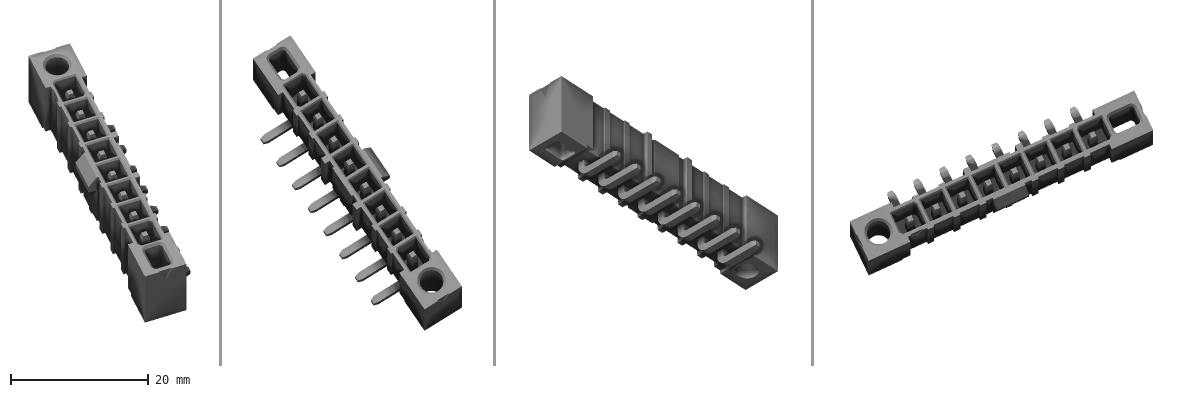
import cadquery as cq
import math

pin_count = 8
pin_row_span = 29.4
pitch = pin_row_span / (pin_count - 1)
pin_width = 1.15
pin_tip_width = 0.8
pin_tip_length = 0.75
pin_top_z = 9.6
pin_end_y = 7.0
pin_bottom_z = -2.1
pin_bend_radius = 1.3

length = 45.8
height = 10.25
end_block_length = 6.7
end_block_width = 6.5
foot_length = 5.4
standoff = 0.6
wall_width = 4.85

rib_thickness = 1.0
rib_width = 5.4
keying_rib_position = pitch
pad_length = 5.15

latch_tip_y = -4.0
latch_ramp_bottom_z = 8.65
latch_bottom_z = 7.4

cell_size = 3.5
end_cell_extension = 0.5
cell_floor_z = 2.3
cell_corner_cut = 0.35
cell_rim_chamfer = 0.25

mount_offset = 19.8
mount_hole_diameter = 3.45
mount_slot_length = 4.08
mount_slot_width = 2.85
mount_slot_corner_radius = 0.55
mount_rim_chamfer = 0.35

mark_width = 2.0
mark_height = 2.0
mark_depth = 0.15

pin_positions = [(i - (pin_count - 1) / 2) * pitch for i in range(pin_count)]
wall_positions = [x + pitch / 2 for x in pin_positions[:-1]]


def block(x_range, y_range, z_range):
    """Axis-aligned box given by its limits on each axis."""
    sizes = [high - low for low, high in (x_range, y_range, z_range)]
    corner = (x_range[0], y_range[0], z_range[0])
    return cq.Workplane("XY").box(*sizes, centered=False).translate(corner)


def centred_block(x, size_x, size_y, bottom, top):
    """Box centred on (x, 0) between two heights."""
    return block((x - size_x / 2, x + size_x / 2), (-size_y / 2, size_y / 2), (bottom, top))


def housing():
    """Long wall block, raised off the board, between two end blocks with feet."""
    body = centred_block(0, length, wall_width, standoff, height)
    for side in (-1, 1):
        block_x = side * (length - end_block_length) / 2
        foot_x = side * (length - foot_length) / 2
        body = body.union(centred_block(block_x, end_block_length, end_block_width, standoff, height))
        body = body.union(centred_block(foot_x, foot_length, end_block_width, 0, standoff))
    return body


def ribs():
    """Full-height ribs between cells; the two keying ribs reach further back."""
    bars = centred_block(0, pad_length, rib_width, standoff, height)
    for x in wall_positions:
        bars = bars.union(centred_block(x, rib_thickness, rib_width, 0, height))
    for x in (-keying_rib_position, keying_rib_position):
        x_range = (x - rib_thickness / 2, x + rib_thickness / 2)
        bars = bars.union(block(x_range, (0, end_block_width / 2), (0, height)))
    return bars


def latch():
    """Wedge on the front pad: sloped lead-in above a vertical face."""
    pad_y = -rib_width / 2
    profile = [
        (0, height),
        (pad_y, height),
        (latch_tip_y, latch_ramp_bottom_z),
        (latch_tip_y, latch_bottom_z),
        (0, latch_bottom_z),
    ]
    return cq.Workplane("YZ").polyline(profile).close().extrude(pad_length / 2, both=True)


def flared(shaft, rim):
    """Add a 45-degree countersunk rim of the given size to the top of an opening."""
    rim_outline = shaft.faces(">Z").wires().translate((0, 0, -rim)).toPending()
    return shaft.union(rim_outline.extrude(rim, combine=False, taper=-45))


def cell(x, left_extension=0, right_extension=0, cut_corners=()):
    """Pocket around a contact; the vertical edges in cut_corners are bevelled."""
    half = cell_size / 2
    x_range = (x - half - left_extension, x + half + right_extension)
    pocket = block(x_range, (-half, half), (cell_floor_z, height))
    for corner in cut_corners:
        pocket = pocket.edges(corner).chamfer(cell_corner_cut)
    return flared(pocket, cell_rim_chamfer)


def cells():
    """Row of pockets; both end cells are longer outward and bevelled at two corners."""
    first = cell(
        pin_positions[0],
        left_extension=end_cell_extension,
        cut_corners=("|Z and <X and <Y", "|Z and >X and >Y"),
    )
    last = cell(
        pin_positions[-1],
        right_extension=end_cell_extension,
        cut_corners=("|Z and >X and <Y", "|Z and <X and >Y"),
    )
    row = first.union(last)
    for x in pin_positions[1:-1]:
        row = row.union(cell(x))
    return row


def mounting_openings():
    """Round hole in the left end block and a slot in the right one, both right through."""
    hole = cq.Workplane("XY").center(-mount_offset, 0).circle(mount_hole_diameter / 2).extrude(height)
    slot = centred_block(mount_offset, mount_slot_length, mount_slot_width, 0, height)
    slot = slot.edges("|Z").fillet(mount_slot_corner_radius)
    return flared(hole, mount_rim_chamfer).union(flared(slot, mount_rim_chamfer))


def mark(plane, surface, centre):
    """Downward triangle reaching mark_depth either side of a flat vertical surface."""
    outline = [
        (centre - mark_width / 2, height),
        (centre + mark_width / 2, height),
        (centre, height - mark_height),
    ]
    triangle = cq.Workplane(plane).workplane(offset=surface).polyline(outline).close()
    return triangle.extrude(mark_depth, both=True)


def marks():
    """Triangles on both end faces and beside the first contact."""
    left_end = mark("YZ", -length / 2, 0)
    right_end = mark("YZ", length / 2, 0)
    first_contact = mark("XZ", wall_width / 2, pin_positions[0])
    return left_end.union(right_end).union(first_contact)


def pin_tip(face):
    """Tapered square tip growing outward from an end face of a pin."""
    taper = math.degrees(math.atan2(pin_width - pin_tip_width, 2 * pin_tip_length))
    base = face.workplane(centerOption="CenterOfMass").rect(pin_width, pin_width)
    return base.extrude(pin_tip_length, combine=False, taper=taper)


def pin():
    """Square pin bent through a right angle towards +Y, tapered at both ends."""
    leg_z = pin_bottom_z + pin_width / 2
    path = (
        cq.Workplane("YZ")
        .moveTo(0, pin_top_z - pin_tip_length)
        .lineTo(0, leg_z + pin_bend_radius)
        .radiusArc((pin_bend_radius, leg_z), -pin_bend_radius)
        .lineTo(pin_end_y - pin_tip_length, leg_z)
    )
    section = cq.Workplane("XY").workplane(offset=pin_top_z - pin_tip_length)
    bar = section.rect(pin_width, pin_width).sweep(path)
    top_tip = pin_tip(bar.faces(">Z"))
    board_tip = pin_tip(bar.faces(">Y"))
    return bar.union(top_tip).union(board_tip)


result = housing().union(ribs()).union(latch())
result = result.cut(cells()).cut(mounting_openings()).cut(marks())
contact = pin()
for x in pin_positions:
    result = result.union(contact.translate((x, 0, 0)))